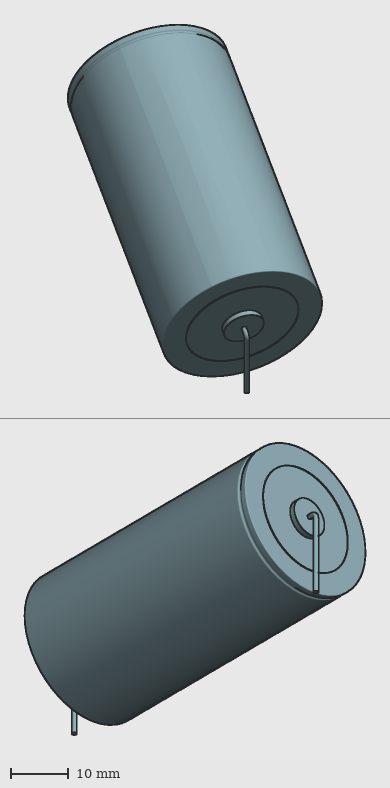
import cadquery as cq
import math

can_length = 54.95
can_radius = 14.5
rim_radius = 0.2
recess_radius = 10.2
recess_depth = 0.1

groove_from_end = 1.5
groove_width = 1.1
groove_arc_radius = 0.35

boss_diameter = 7.25
boss_height = 0.9
wire_diameter = 0.9
lead_span = 60.9
lead_drop = 16.5
lead_bend_radius = 0.9

stripe_half_angle = 22.5
mark_length = 11.65
mark_width = 3.0
mark_offset = 11.6
mark_depth = 0.6

can_end = can_length / 2
boss_end = can_end + boss_height
lead_x = (lead_span - wire_diameter) / 2


def make_can():
    groove_x = -can_end + groove_from_end
    half_width = groove_width / 2
    centre_rise = math.sqrt((2 * groove_arc_radius) ** 2 - half_width**2)
    tangent_radius = can_radius - groove_arc_radius + centre_rise / 2
    floor_radius = can_radius - 2 * groove_arc_radius + centre_rise
    profile = (
        cq.Workplane("XY")
        .moveTo(-can_end, 0)
        .lineTo(-can_end, can_radius - rim_radius)
        .radiusArc((-can_end + rim_radius, can_radius), rim_radius)
        .lineTo(groove_x - half_width, can_radius)
        .radiusArc((groove_x - half_width / 2, tangent_radius), groove_arc_radius)
        .threePointArc((groove_x, floor_radius), (groove_x + half_width / 2, tangent_radius))
        .radiusArc((groove_x + half_width, can_radius), groove_arc_radius)
        .lineTo(can_end - rim_radius, can_radius)
        .radiusArc((can_end, can_radius - rim_radius), rim_radius)
        .lineTo(can_end, 0)
        .close()
    )
    can = profile.revolve(360, (0, 0, 0), (1, 0, 0))
    for x in (-can_end, can_end - recess_depth):
        can = can.cut(cq.Workplane("YZ", origin=(x, 0, 0)).circle(recess_radius).extrude(recess_depth))
    return can


def inlay(body, cutter):
    """Divide the body at the cutter and rejoin it flush, keeping the dividing edges."""
    outside = body.cut(cutter, clean=False)
    inside = body.intersect(cutter, clean=False)
    return outside.union(inside, clean=False)


def stripe_cutter():
    reach = 2 * can_radius
    angle = math.radians(stripe_half_angle)
    half_width = reach * math.sin(angle)
    height = reach * math.cos(angle)
    return (
        cq.Workplane("YZ", origin=(-can_end, 0, 0))
        .polyline([(0, 0), (half_width, height), (-half_width, height)])
        .close()
        .extrude(can_length)
    )


def mark_cutter():
    return (
        cq.Workplane("XY", origin=(0, 0, can_radius - mark_depth))
        .pushPoints([(-mark_offset, 0), (mark_offset, 0)])
        .slot2D(mark_length, mark_width)
        .extrude(2 * mark_depth)
    )


def make_terminal(side):
    """Boss and bent lead; side is -1 for the -X end and +1 for the +X end."""
    root_x = side * (can_end - 2 * recess_depth)
    boss = (
        cq.Workplane("YZ", origin=(root_x, 0, 0))
        .circle(boss_diameter / 2)
        .extrude(side * boss_end - root_x)
    )
    bend_x = side * (lead_x - lead_bend_radius)
    bend_middle = (
        bend_x + side * lead_bend_radius * math.sin(math.pi / 4),
        -lead_bend_radius * (1 - math.cos(math.pi / 4)),
    )
    path = (
        cq.Workplane("XZ")
        .moveTo(root_x, 0)
        .lineTo(bend_x, 0)
        .threePointArc(bend_middle, (side * lead_x, -lead_bend_radius))
        .lineTo(side * lead_x, -lead_drop)
    )
    lead = cq.Workplane("YZ", origin=(root_x, 0, 0)).circle(wire_diameter / 2).sweep(path)
    return boss.union(lead)


capacitor = make_can()
for end_side in (-1, 1):
    capacitor = capacitor.union(make_terminal(end_side))
capacitor = inlay(capacitor, mark_cutter())

core = cq.Workplane("YZ", origin=(-can_end, 0, 0)).circle(recess_radius).extrude(can_length)
result = inlay(capacitor, stripe_cutter().cut(core))